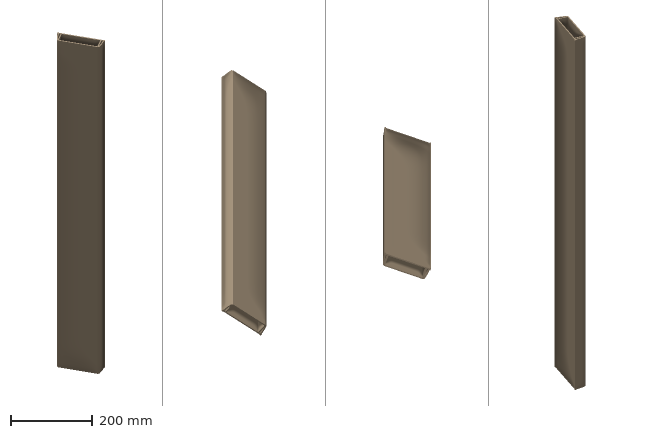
import cadquery as cq

length = 1000.0
width = 121.0
depth = 33.0
wall = 3.0

half_width = width / 2
back = depth / 2
front = -depth / 2

rim_height = 1.5
plate_outer = back - rim_height
plate_inner = plate_outer - wall

lip_depth = 6.0
lip_taper = 0.2
lip_overhang = 1.8
lip_undercut = 1.2
lip_tip = (half_width - lip_taper, back - lip_depth)

chamfer_width = 3.9
chamfer_height = 2.5
front_face_inset = 10.0
chamfer_end = (half_width - front_face_inset, front)

flank_bulge = 0.9
flank_top = (half_width - lip_overhang, lip_tip[1] + lip_undercut)
flank_bottom = (chamfer_end[0] + chamfer_width, front + chamfer_height)
flank_middle = (
    (flank_top[0] + flank_bottom[0]) / 2 + flank_bulge,
    (flank_top[1] + flank_bottom[1]) / 2,
)

channel_half_width = 49.0
pocket_inner = channel_half_width + wall
pocket_bottom = -9.0
pocket_bottom_width = 0.5


def mirrored(point):
    """The same point on the -X side of the profile."""
    x, y = point
    return (-x, y)


def outer_body():
    """Solid extrusion of the outline, symmetric about X = 0."""
    return (
        cq.Workplane("XY")
        .moveTo(half_width, back)
        .lineTo(*lip_tip)
        .lineTo(*flank_top)
        .threePointArc(flank_middle, flank_bottom)
        .lineTo(*chamfer_end)
        .lineTo(*mirrored(chamfer_end))
        .lineTo(*mirrored(flank_bottom))
        .threePointArc(mirrored(flank_middle), mirrored(flank_top))
        .lineTo(*mirrored(lip_tip))
        .lineTo(-half_width, back)
        .close()
        .extrude(length)
    )


def full_length_box(x_limit, y_low, y_high):
    """Box over the whole length, between -x_limit and x_limit."""
    return (
        cq.Workplane("XY")
        .center(0, (y_low + y_high) / 2)
        .rect(2 * x_limit, y_high - y_low)
        .extrude(length)
    )


def side_pocket():
    """Full-length pocket on the +X side, about one wall thickness inside the flank."""
    return (
        cq.Workplane("XY")
        .moveTo(pocket_inner, plate_inner)
        .lineTo(flank_top[0] - wall, plate_inner)
        .threePointArc(
            (flank_middle[0] - wall, flank_middle[1]),
            (pocket_inner + pocket_bottom_width, pocket_bottom),
        )
        .lineTo(pocket_inner, pocket_bottom)
        .close()
        .extrude(length)
    )


channel = full_length_box(channel_half_width, front + wall, plate_inner)
rim_recess = full_length_box(half_width - wall, plate_outer, back)
pocket = side_pocket()

result = (
    outer_body()
    .cut(channel)
    .cut(rim_recess)
    .cut(pocket)
    .cut(pocket.mirror("YZ"))
    .translate((0, 0, -length / 2))
)